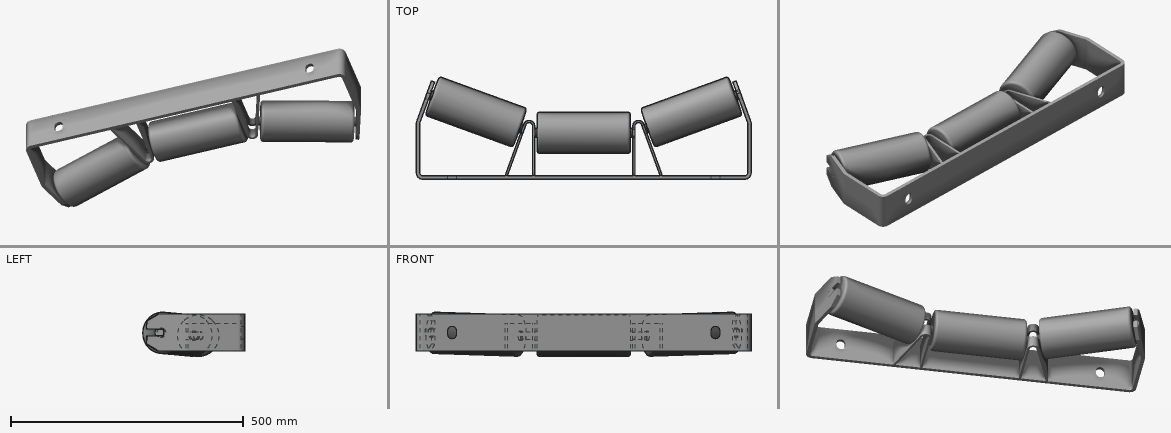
import cadquery as cq
import math

FRAME_LENGTH = 720.0
STRIP_WIDTH = 80.0
STRIP_THICKNESS = 8.0
STRIP_BEND_RADIUS = 14.5
LEG_BEND_HEIGHT = 122.5
TIP_LENGTH = 95.0
TIP_CHAMFER_ALONG = 27.0
TIP_CHAMFER_ACROSS = 15.0
TROUGH_ANGLE = 20.0

MOUNT_SLOT_SPACING = 566.0
MOUNT_SLOT_LENGTH = 27.0
MOUNT_SLOT_WIDTH = 19.0

HAIRPIN_WIDTH = 59.0
HAIRPIN_THICKNESS = 5.0
HAIRPIN_BEND_RADIUS = 12.0
HAIRPIN_LEG_X = 105.0
HAIRPIN_FOOT_X = 169.0

ROLLER_DIAMETER = 89.0
ROLLER_LENGTH = 200.0
ROLLER_FILLET = 6.0
SPINDLE_DIAMETER = 20.0
FLAT_HEIGHT = 14.0
FLAT_LEAD = 1.0
MIDDLE_ROLLER_Y = 100.0
OUTER_SPINDLE_Y = 183.5
INNER_SEAT_DROP = 6.85

SEAT_CLEARANCE = 1.0
SEAT_HEIGHT = FLAT_HEIGHT + 2 * SEAT_CLEARANCE
SEAT_OPENING = 86.5

LEAN = math.radians(TROUGH_ANGLE)
LEAN_SIN = math.sin(LEAN)
LEAN_COS = math.cos(LEAN)
LEAN_TAN = math.tan(LEAN)
HALF_LENGTH = FRAME_LENGTH / 2

AXIS_START_X = -HALF_LENGTH + (OUTER_SPINDLE_Y - LEG_BEND_HEIGHT) * LEAN_TAN
SPAN_TO_HAIRPIN = (
    (-HAIRPIN_FOOT_X - AXIS_START_X) * LEAN_COS
    + (OUTER_SPINDLE_Y - STRIP_THICKNESS) * LEAN_SIN
)
OUTER_TILT = math.degrees(math.atan(INNER_SEAT_DROP / SPAN_TO_HAIRPIN))


def fillet_upright_edge(body, x, y, radius):
    """Round the edge parallel to Z that stands at (x, y)."""
    return body.edges("|Z").edges(cq.NearestToPointSelector((x, y, 0))).fillet(radius)


def extrude_profile(points, width):
    """Extrude an XY outline symmetrically about Z = 0."""
    return cq.Workplane("XY").polyline(points).close().extrude(width / 2, both=True)


def along_outer_axis(body):
    """Move a body from the X axis to the level line through the left outer seats."""
    turned = body.rotate((0, 0, 0), (0, 0, 1), -TROUGH_ANGLE)
    return turned.translate((AXIS_START_X, OUTER_SPINDLE_Y, 0))


def make_strip():
    """Bent strip: base, two end legs and their inward leaning tips."""
    tip = (
        -HALF_LENGTH + TIP_LENGTH * LEAN_SIN,
        LEG_BEND_HEIGHT + TIP_LENGTH * LEAN_COS,
    )
    inner_tip = (tip[0] + STRIP_THICKNESS * LEAN_COS, tip[1] - STRIP_THICKNESS * LEAN_SIN)
    inner_x = -HALF_LENGTH + STRIP_THICKNESS
    inner_bend_y = LEG_BEND_HEIGHT - STRIP_THICKNESS * math.tan(LEAN / 2)
    left_outline = [
        (0, 0),
        (-HALF_LENGTH, 0),
        (-HALF_LENGTH, LEG_BEND_HEIGHT),
        tip,
        inner_tip,
        (inner_x, inner_bend_y),
        (inner_x, STRIP_THICKNESS),
        (0, STRIP_THICKNESS),
    ]
    half = extrude_profile(left_outline, STRIP_WIDTH)
    inner_radius = STRIP_BEND_RADIUS - STRIP_THICKNESS
    half = fillet_upright_edge(half, -HALF_LENGTH, 0, STRIP_BEND_RADIUS)
    half = fillet_upright_edge(half, inner_x, STRIP_THICKNESS, inner_radius)
    half = fillet_upright_edge(half, -HALF_LENGTH, LEG_BEND_HEIGHT, STRIP_BEND_RADIUS)
    half = fillet_upright_edge(half, inner_x, inner_bend_y, inner_radius)
    half = half.cut(make_tip_corners())
    return half.union(half.mirror("YZ"))


def make_tip_corners():
    """Two wedges that chamfer the corners of the left leg tip."""
    bend_to_spindle = (OUTER_SPINDLE_Y - LEG_BEND_HEIGHT) / LEAN_COS
    tip_y = TIP_LENGTH - bend_to_spindle
    half_width = STRIP_WIDTH / 2
    upper = (
        cq.Workplane("YZ")
        .polyline([
            (tip_y, half_width),
            (tip_y - TIP_CHAMFER_ALONG, half_width),
            (tip_y, half_width - TIP_CHAMFER_ACROSS),
        ])
        .close()
        .extrude(STRIP_THICKNESS)
    )
    return along_outer_axis(upper.union(upper.mirror("XY")))


def make_hairpin():
    """Left hairpin bracket: an upright leg and a leaning leg joined by a loop."""
    inner_upright_x = -HAIRPIN_LEG_X - HAIRPIN_THICKNESS
    inner_foot_x = -HAIRPIN_FOOT_X + HAIRPIN_THICKNESS / LEAN_COS
    apex_y = STRIP_THICKNESS + (HAIRPIN_FOOT_X - HAIRPIN_LEG_X) / LEAN_TAN
    inner_apex_y = STRIP_THICKNESS + (inner_upright_x - inner_foot_x) / LEAN_TAN
    outline = [
        (-HAIRPIN_FOOT_X, STRIP_THICKNESS),
        (-HAIRPIN_LEG_X, apex_y),
        (-HAIRPIN_LEG_X, STRIP_THICKNESS),
        (inner_upright_x, STRIP_THICKNESS),
        (inner_upright_x, inner_apex_y),
        (inner_foot_x, STRIP_THICKNESS),
    ]
    hairpin = extrude_profile(outline, HAIRPIN_WIDTH)
    hairpin = fillet_upright_edge(hairpin, -HAIRPIN_LEG_X, apex_y, HAIRPIN_BEND_RADIUS)
    inner_radius = HAIRPIN_BEND_RADIUS - HAIRPIN_THICKNESS
    hairpin = fillet_upright_edge(hairpin, inner_upright_x, inner_apex_y, inner_radius)
    return hairpin.translate((0, 0, (HAIRPIN_WIDTH - STRIP_WIDTH) / 2))


def make_seat(start, end):
    """Seat cutter about the X axis: a round bottom with an opening towards +Y."""
    radius = SPINDLE_DIAMETER / 2 + SEAT_CLEARANCE
    length = end - start
    bottom = cq.Workplane("YZ", origin=(start, 0, 0)).circle(radius).extrude(length)
    slab = cq.Workplane("XY", origin=(start, 0, 0)).box(
        length, 2 * radius, SEAT_HEIGHT, centered=(False, True, True)
    )
    opening = cq.Workplane("XY", origin=(start, 0, 0)).box(
        length, SEAT_OPENING, SEAT_HEIGHT, centered=(False, False, True)
    )
    return bottom.intersect(slab).union(opening)


def make_roller(start_plate, end_plate, span):
    """Roller on the X axis; its spindle starts at X = 0 and crosses two plates.

    The start plate lies inside the span and the end plate beyond it.
    """
    spindle_length = span + end_plate
    gap = (span - start_plate - ROLLER_LENGTH) / 2
    shell = (
        cq.Workplane("YZ", origin=(start_plate + gap, 0, 0))
        .circle(ROLLER_DIAMETER / 2)
        .extrude(ROLLER_LENGTH)
        .edges()
        .fillet(ROLLER_FILLET)
    )
    spindle = cq.Workplane("YZ").circle(SPINDLE_DIAMETER / 2).extrude(spindle_length)
    return shell.union(spindle)


def cut_flats(roller, start, end):
    """Cut the two flats on a spindle that lies on the X axis, from start to end."""
    waste = (
        cq.Workplane("XY")
        .box(end - start, 2 * SPINDLE_DIAMETER, SPINDLE_DIAMETER, centered=(False, True, False))
        .translate((start, 0, FLAT_HEIGHT / 2))
    )
    return roller.cut(waste).cut(waste.mirror("XY"))


def make_middle_roller():
    """Level roller whose spindle shoulders sit against the upright hairpin legs."""
    span = 2 * HAIRPIN_LEG_X + HAIRPIN_THICKNESS
    roller = make_roller(HAIRPIN_THICKNESS, HAIRPIN_THICKNESS, span)
    roller = cut_flats(roller, 0, HAIRPIN_THICKNESS)
    roller = cut_flats(roller, span, span + HAIRPIN_THICKNESS)
    start_x = -HAIRPIN_LEG_X - HAIRPIN_THICKNESS
    return roller.translate((start_x, MIDDLE_ROLLER_Y, -INNER_SEAT_DROP))


def make_outer_roller(side):
    """Outer roller, -1 for the left one and 1 for the right one."""
    roller = make_roller(STRIP_THICKNESS, HAIRPIN_THICKNESS, SPAN_TO_HAIRPIN)
    roller = cut_flats(roller, 0, STRIP_THICKNESS + FLAT_LEAD)
    roller = cut_flats(roller, SPAN_TO_HAIRPIN - FLAT_LEAD, SPAN_TO_HAIRPIN + HAIRPIN_THICKNESS)
    left = along_outer_axis(roller.rotate((0, 0, 0), (0, 1, 0), OUTER_TILT))
    return left if side < 0 else left.mirror("YZ")


def make_seated_hairpin():
    """Left hairpin with the seats for the middle and the outer spindle."""
    loop_inside = 2 * (HAIRPIN_BEND_RADIUS - HAIRPIN_THICKNESS)
    outer_seat = along_outer_axis(
        make_seat(SPAN_TO_HAIRPIN, SPAN_TO_HAIRPIN + HAIRPIN_THICKNESS + loop_inside)
    )
    middle_seat = make_seat(-HAIRPIN_LEG_X - HAIRPIN_THICKNESS, -HAIRPIN_LEG_X)
    middle_seat = middle_seat.translate((0, MIDDLE_ROLLER_Y, -INNER_SEAT_DROP))
    outer_seat = outer_seat.translate((0, 0, -INNER_SEAT_DROP))
    return make_hairpin().cut(outer_seat).cut(middle_seat)


def make_mount_slots():
    """Upright obround cutters through the base of the strip."""
    return (
        cq.Workplane("XZ")
        .pushPoints([(-MOUNT_SLOT_SPACING / 2, 0), (MOUNT_SLOT_SPACING / 2, 0)])
        .slot2D(MOUNT_SLOT_LENGTH, MOUNT_SLOT_WIDTH, 90)
        .extrude(-STRIP_THICKNESS)
    )


def make_carrier():
    """Strip, hairpins and the fixed middle roller as one solid."""
    end_seat = along_outer_axis(make_seat(0, STRIP_THICKNESS))
    strip = make_strip().cut(end_seat).cut(end_seat.mirror("YZ")).cut(make_mount_slots())
    hairpin = make_seated_hairpin()
    return strip.union(hairpin).union(hairpin.mirror("YZ")).union(make_middle_roller())


carrier = make_carrier()
outer_rollers = [make_outer_roller(side) for side in (-1, 1)]

result = cq.Compound.makeCompound(
    [carrier.solids().val(), *[roller.solids().val() for roller in outer_rollers]]
)